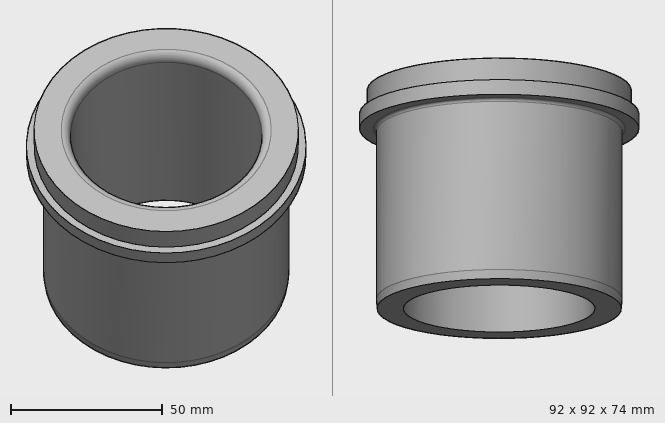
import cadquery as cq

total_height = 74.0
rim_height = 8.0
flange_thickness = 5.0
flange_top = total_height - rim_height
flange_bottom = flange_top - flange_thickness

flange_diameter = 92.0
rim_diameter = 86.9
body_diameter = 80.9
bore_diameter = 63.0

bore_mouth_radius = 3.0
neck_fillet_radius = 1.0
lead_in_height = 3.0
lead_in_depth = 0.3


def cylinder(diameter, bottom, top):
    """Upright cylinder on the Z axis between two heights."""
    return cq.Workplane("XY").workplane(offset=bottom).circle(diameter / 2).extrude(top - bottom)


body = cylinder(body_diameter, 0, flange_bottom)
flange = cylinder(flange_diameter, flange_bottom, flange_top)
sleeve = body.union(flange)
inner_edge = cq.selectors.RadiusNthSelector(0)
flange_underside = sleeve.faces("|Z").faces(">Z[-2]")
sleeve = flange_underside.edges(inner_edge).fillet(neck_fillet_radius)

sleeve = sleeve.union(cylinder(rim_diameter, flange_top, total_height))

sleeve = sleeve.faces("<Z").chamfer(lead_in_height, lead_in_depth)

sleeve = sleeve.cut(cylinder(bore_diameter, 0, total_height))
result = sleeve.faces(">Z").edges(inner_edge).fillet(bore_mouth_radius)